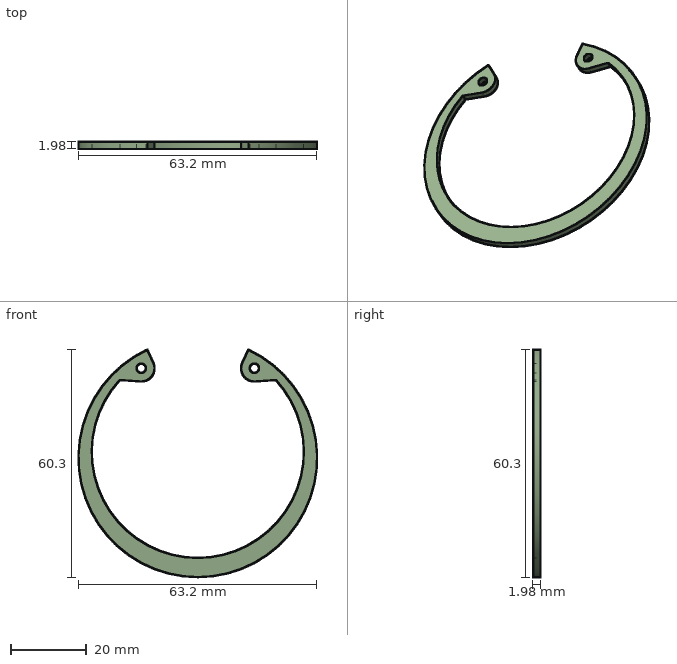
import cadquery as cq
import math

thickness = 1.98
outer_radius = 31.625
bore_radius = 28.05
bore_offset = 1.58

gap_half_angle = math.radians(25)
lug_radius = 3.55
lug_hole_diameter = 2.4
lug_centre_distance = 28.05
lug_heel_x = 20.65


def polar(centre, radius, angle):
    """Point at an angle measured clockwise from +Z."""
    return (centre[0] + radius * math.sin(angle), centre[1] + radius * math.cos(angle))


def mirrored(point):
    return (-point[0], point[1])


outer_centre = (0, 0)
outer_bottom = (0, -outer_radius)
bore_bottom = (0, bore_offset - bore_radius)

lug_angle = gap_half_angle + math.asin(lug_radius / lug_centre_distance)
lug_centre = polar(outer_centre, lug_centre_distance, lug_angle)

tip = polar(outer_centre, outer_radius, gap_half_angle)
end_face_foot = polar(lug_centre, lug_radius, gap_half_angle - math.pi / 2)

heel = (lug_heel_x, bore_offset + math.sqrt(bore_radius**2 - lug_heel_x**2))
heel_dx = heel[0] - lug_centre[0]
heel_dz = heel[1] - lug_centre[1]
heel_angle = math.atan2(heel_dx, heel_dz)
tangent_angle = heel_angle + math.acos(lug_radius / math.hypot(heel_dx, heel_dz))
heel_tangent = polar(lug_centre, lug_radius, tangent_angle)

round_start_angle = gap_half_angle + 3 * math.pi / 2
lug_round_middle = polar(lug_centre, lug_radius, (round_start_angle + tangent_angle) / 2)


def make_ring():
    return (
        cq.Workplane("XZ")
        .moveTo(*tip)
        .threePointArc(outer_bottom, mirrored(tip))
        .lineTo(*mirrored(end_face_foot))
        .threePointArc(mirrored(lug_round_middle), mirrored(heel_tangent))
        .lineTo(*mirrored(heel))
        .threePointArc(bore_bottom, heel)
        .lineTo(*heel_tangent)
        .threePointArc(lug_round_middle, end_face_foot)
        .close()
        .extrude(thickness / 2, both=True)
    )


def make_lug_holes():
    return (
        cq.Workplane("XZ")
        .pushPoints([lug_centre, mirrored(lug_centre)])
        .circle(lug_hole_diameter / 2)
        .extrude(thickness, both=True)
    )


result = make_ring().cut(make_lug_holes())